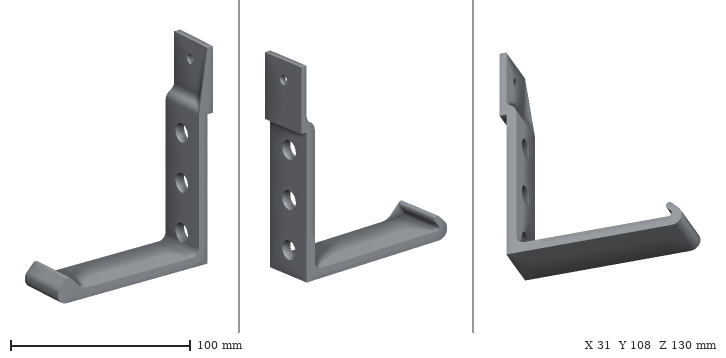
import cadquery as cq
import math

body_width = 30.0
web_thickness = 1.0
total_width = body_width + web_thickness
total_height = 130.0
total_depth = 108.0

strap_thickness = 6.0
tab_thickness = 4.0
tab_bottom = 90.0
wall_front = tab_thickness + strap_thickness
inner_corner_radius = 5.0

shoulder_upper_radius = 5.0
shoulder_lower_radius = 6.0

bend_radius = strap_thickness
lip_thickness = 4.0
lip_length = 6.0
hook_inner_radius = 2.0
tip_radius = lip_thickness / 2
web_foot_radius = 10.0

hole_center_x = body_width / 2
large_hole_diameter = 11.5
large_hole_count = 3
lowest_large_hole_height = 15.0
large_hole_spacing = 30.0
small_hole_diameter = 6.0
small_hole_below_top = 12.0
small_hole_height = total_height - small_hole_below_top

diagonal = math.sqrt(0.5)
lip_offset = bend_radius - tip_radius
bend_center = (total_depth - bend_radius, bend_radius)
tip_center = (
    bend_center[0] + (lip_offset - lip_length) * diagonal,
    bend_center[1] + (lip_offset + lip_length) * diagonal,
)

shoulder_radii = shoulder_upper_radius + shoulder_lower_radius
shoulder_turn = math.degrees(math.acos(1 - strap_thickness / shoulder_radii))
shoulder_top = tab_bottom + shoulder_radii * math.sin(math.radians(shoulder_turn))
shoulder_upper_center = (tab_thickness + shoulder_upper_radius, shoulder_top)
shoulder_lower_center = (wall_front - shoulder_lower_radius, tab_bottom)


def on_circle(center, radius, angle):
    """Point on a circle, with the angle in degrees from the depth axis toward +Z."""
    turn = math.radians(angle)
    return (center[0] + radius * math.cos(turn), center[1] + radius * math.sin(turn))


def side_plane():
    """Sketch plane on the +X side with (depth, height) axes; extrusion runs toward -X."""
    return cq.Workplane(cq.Plane(origin=(total_width, 0, 0), xDir=(0, -1, 0), normal=(-1, 0, 0)))


def make_strap():
    """Tab, shoulder, wall, leg and hook lip as one section across the full width."""
    corner_center = (wall_front + inner_corner_radius, strap_thickness + inner_corner_radius)

    inner_center_height = strap_thickness + hook_inner_radius
    lip_inner_face_sum = sum(on_circle(tip_center, tip_radius, 225))
    inner_center_depth = lip_inner_face_sum - hook_inner_radius / diagonal - inner_center_height
    inner_center = (inner_center_depth, inner_center_height)

    outline = (
        side_plane()
        .moveTo(0, total_height)
        .lineTo(0, tab_bottom)
        .lineTo(tab_thickness, tab_bottom)
        .lineTo(tab_thickness, 0)
        .lineTo(bend_center[0], 0)
        .threePointArc(on_circle(bend_center, bend_radius, 0), on_circle(bend_center, bend_radius, 45))
        .lineTo(*on_circle(tip_center, tip_radius, 45))
        .threePointArc(on_circle(tip_center, tip_radius, 135), on_circle(tip_center, tip_radius, 225))
        .lineTo(*on_circle(inner_center, hook_inner_radius, 45))
        .threePointArc(
            on_circle(inner_center, hook_inner_radius, 0),
            on_circle(inner_center, hook_inner_radius, -90),
        )
        .lineTo(corner_center[0], strap_thickness)
        .threePointArc(
            on_circle(corner_center, inner_corner_radius, 225),
            (wall_front, corner_center[1]),
        )
        .lineTo(wall_front, tab_bottom)
        .threePointArc(
            on_circle(shoulder_lower_center, shoulder_lower_radius, shoulder_turn / 2),
            on_circle(shoulder_lower_center, shoulder_lower_radius, shoulder_turn),
        )
        .threePointArc(
            on_circle(shoulder_upper_center, shoulder_upper_radius, 180 + shoulder_turn / 2),
            (tab_thickness, shoulder_top),
        )
        .lineTo(tab_thickness, total_height)
        .close()
    )
    return outline.extrude(total_width)


def make_tab_web():
    """Thin tapering web on the +X side, its edge tangent to the shoulder's lower arc."""
    web_top = (tab_thickness, total_height)
    rise = web_top[1] - shoulder_lower_center[1]
    run = web_top[0] - shoulder_lower_center[0]
    tangent_turn = math.atan2(rise, run) - math.acos(shoulder_lower_radius / math.hypot(rise, run))
    return (
        side_plane()
        .moveTo(*web_top)
        .lineTo(*on_circle(shoulder_lower_center, shoulder_lower_radius, math.degrees(tangent_turn)))
        .lineTo(tab_thickness, tab_bottom)
        .close()
        .extrude(web_thickness)
    )


def make_hook_web():
    """Thin web on the +X side closing the hook, with a rounded foot on the leg."""
    edge_top = on_circle(tip_center, tip_radius, 135)
    edge_foot_depth = edge_top[0] - (edge_top[1] - strap_thickness)
    foot_start = edge_foot_depth - web_foot_radius * math.tan(math.radians(22.5))
    foot_center = (foot_start, strap_thickness + web_foot_radius)
    return (
        side_plane()
        .moveTo(foot_start, strap_thickness)
        .threePointArc(
            on_circle(foot_center, web_foot_radius, -67.5),
            on_circle(foot_center, web_foot_radius, -45),
        )
        .lineTo(*edge_top)
        .lineTo(*tip_center)
        .lineTo(*on_circle(bend_center, lip_offset, 45))
        .lineTo(*on_circle(bend_center, lip_offset, 0))
        .lineTo(bend_center[0], strap_thickness / 2)
        .lineTo(foot_start, strap_thickness / 2)
        .close()
        .extrude(web_thickness)
    )


def make_hole(diameter, height):
    """Cutter along Y through the tab or the wall, reaching past the rounded inner corner."""
    return (
        cq.Workplane("XZ")
        .center(hole_center_x, height)
        .circle(diameter / 2)
        .extrude(wall_front + inner_corner_radius)
    )


result = make_strap().union(make_tab_web()).union(make_hook_web())
result = result.cut(make_hole(small_hole_diameter, small_hole_height))
for hole_index in range(large_hole_count):
    hole_height = lowest_large_hole_height + hole_index * large_hole_spacing
    result = result.cut(make_hole(large_hole_diameter, hole_height))